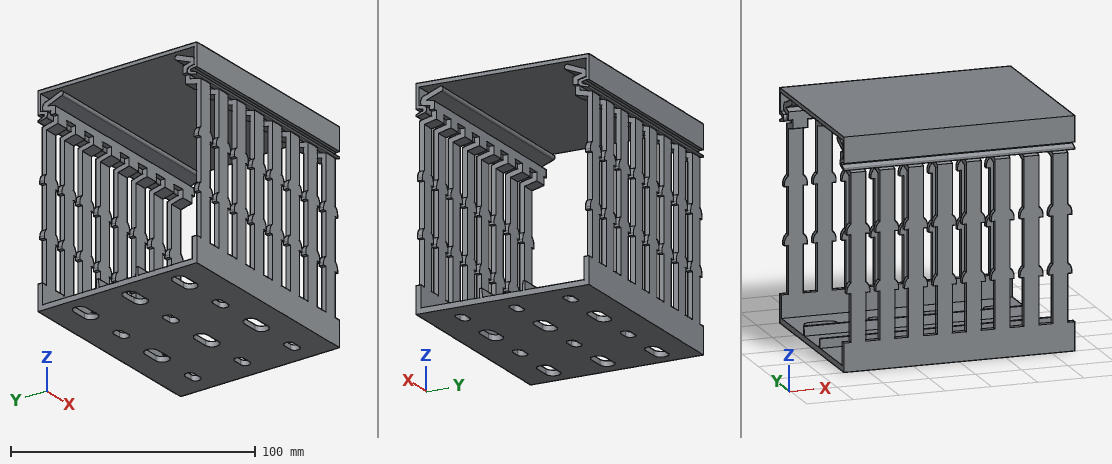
import cadquery as cq
import math

length = 100.0
width = 80.1
height = 100.0
half_width = width / 2

wall = 2.3
floor_thickness = 2.5
cover_top = 1.8
cover_side = 1.4
cover_skirt = 11.2

finger_count = 8
finger_pitch = length / finger_count
finger_width = 6.5
slot_width = finger_pitch - finger_width
slot_bottom = 12.5
slot_top = 88.0
slot_depth = 9.0

barb_bottom = 33.2
barb_pitch = 25.0
barb_bottoms = (barb_bottom, barb_bottom + barb_pitch)
barb_reach = 1.7
barb_land = 1.1
barb_arc_rise = 3.5

rib_outer = 10.5
rib_height = 4.0
rib_top_width = 1.0
rib_root_width = 1.3

hole_pitch = 25.0
first_long_hole = -1.5 * hole_pitch
long_hole = (14.0, 6.5)
short_hole = (8.5, 4.5)

web_outer = 5.6
web_inner = web_outer + wall
shoulder_outer_depth = 15.4
shoulder_inner_depth = 17.2
shoulder_drop = 1.4
ledge_start = (web_outer, 10.1)
ledge_end = (2.0, 9.5)
ledge_top_depth = 8.4
lip_crook = (4.3, 7.5)
lip_bend = (1.5, 8.1)
lip_bend_end = (4.1, 5.2)
lip_slope = math.radians(20)
lip_end = (10.8, 3.7)
lip_radius = wall / 2
lip_setback = 1.2

notch_mouth = (1.6, cover_skirt)
notch_upper = (2.8, 11.6)
notch_nose = (3.2, 12.0)
notch_lower = (2.8, 12.4)
tip_upper = (0.3, 13.5)
tip_outer = (0, 13.9)
tip_lower = (0.6, 14.4)
nose_lower = (4.2, 13.3)
nose = (5.0, 12.0)
nose_upper = (4.3, 10.4)
hook_root = (cover_side, 9.7)


def edge_point(inset, depth):
    """Point (y, z) at the +Y edge, given inward from the side and down from the top."""
    return (half_width - inset, height - depth)


def along_x(sketch):
    """Extrude a Y-Z outline over the full length."""
    return sketch.close().extrude(length / 2, both=True)


def both_sides(body):
    """Join a +Y feature with its mirror image."""
    return body.union(body.mirror("XZ"))



def base_wall():
    """Side wall at +Y, ending in the set-back web and the snap lip."""
    across = (lip_radius * math.sin(lip_slope), lip_radius * math.cos(lip_slope))
    end_upper = (lip_end[0] - across[0], lip_end[1] - across[1])
    end_lower = (lip_end[0] + across[0], lip_end[1] + across[1])
    end_tip = (lip_end[0] + across[1], lip_end[1] - across[0])
    return along_x(
        cq.Workplane("YZ")
        .moveTo(half_width, 0)
        .lineTo(*edge_point(0, shoulder_outer_depth))
        .lineTo(*edge_point(web_outer, shoulder_outer_depth - shoulder_drop))
        .lineTo(*edge_point(*ledge_start))
        .lineTo(*edge_point(*ledge_end))
        .threePointArc(edge_point(*lip_bend), edge_point(*lip_bend_end))
        .lineTo(*edge_point(*end_upper))
        .threePointArc(edge_point(*end_tip), edge_point(*end_lower))
        .lineTo(*edge_point(*lip_crook))
        .lineTo(*edge_point(web_inner, ledge_top_depth))
        .lineTo(*edge_point(web_inner, shoulder_inner_depth - shoulder_drop))
        .lineTo(*edge_point(wall, shoulder_inner_depth))
        .lineTo(half_width - wall, 0)
    )


def wall_slot(x):
    """Cutter for one slot between neighbouring fingers of the +Y wall."""
    return (
        cq.Workplane("XY")
        .box(slot_width, slot_depth, slot_top - slot_bottom, centered=(True, False, False))
        .translate((x, half_width - slot_depth, slot_bottom))
    )


def lip_end_trim(end):
    """Cutter that shortens the snap lip at one end; end is +1 or -1 along X."""
    return cq.Workplane("XY").box(2 * lip_setback, width, 2 * (height - slot_top)).translate(
        (end * length / 2, 0, height)
    )


def barb(x, z, side):
    """Barb on one edge of a finger; side is +1 or -1 along X."""
    arc_radius = (barb_reach**2 + barb_arc_rise**2) / (2 * barb_reach)
    half_angle = math.asin(barb_arc_rise / arc_radius) / 2
    arc_mid_reach = barb_reach - arc_radius * (1 - math.cos(half_angle))
    arc_mid_rise = barb_land + arc_radius * math.sin(half_angle)
    root = finger_width / 2

    def point(reach, rise):
        return (x + side * (root + reach), z + rise)

    return (
        cq.Workplane("XZ", origin=(0, half_width, 0))
        .moveTo(*point(-root, 0))
        .lineTo(*point(barb_reach, 0))
        .lineTo(*point(barb_reach, barb_land))
        .threePointArc(
            point(arc_mid_reach, arc_mid_rise), point(0, barb_land + barb_arc_rise)
        )
        .lineTo(*point(-root, barb_land + barb_arc_rise))
        .close()
        .extrude(wall)
    )


def slotted_wall():
    """The +Y wall cut into fingers, with barbs on both edges of each finger."""
    body = base_wall()
    for i in range(finger_count + 1):
        body = body.cut(wall_slot(i * finger_pitch - length / 2))
    for end in (-1, 1):
        body = body.cut(lip_end_trim(end))
    for i in range(finger_count):
        finger_x = (i + 0.5) * finger_pitch - length / 2
        for z in barb_bottoms:
            for side in (-1, 1):
                body = body.union(barb(finger_x, z, side))
    return body


def floor_rib():
    """Rib on the +Y half of the floor, with a sloped inner face."""
    rib_top = floor_thickness + rib_height
    return along_x(
        cq.Workplane("YZ")
        .moveTo(rib_outer, 0)
        .lineTo(rib_outer, rib_top)
        .lineTo(rib_outer - rib_top_width, rib_top)
        .lineTo(rib_outer - rib_root_width, floor_thickness)
        .lineTo(rib_outer - rib_root_width, 0)
    )


def mounting_holes(size, first_x):
    """Cutters for three rows of slotted holes of one size, two per row."""
    places = [
        (first_x + i * 2 * hole_pitch, j * hole_pitch) for i in range(2) for j in (-1, 0, 1)
    ]
    return cq.Workplane("XY").pushPoints(places).slot2D(*size).extrude(floor_thickness)


def make_base():
    floor = cq.Workplane("XY").box(length, width, floor_thickness, centered=(True, True, False))
    return (
        floor.union(both_sides(slotted_wall()))
        .union(both_sides(floor_rib()))
        .cut(mounting_holes(long_hole, first_long_hole))
        .cut(mounting_holes(short_hole, first_long_hole + hole_pitch))
    )



def cover_edge():
    """Skirt at +Y with the V-shaped hook that snaps into the hollow of the base wall."""
    return along_x(
        cq.Workplane("YZ")
        .moveTo(half_width, height)
        .lineTo(*edge_point(0, cover_skirt))
        .lineTo(*edge_point(*notch_mouth))
        .lineTo(*edge_point(*notch_upper))
        .threePointArc(edge_point(*notch_nose), edge_point(*notch_lower))
        .lineTo(*edge_point(*tip_upper))
        .threePointArc(edge_point(*tip_outer), edge_point(*tip_lower))
        .lineTo(*edge_point(*nose_lower))
        .threePointArc(edge_point(*nose), edge_point(*nose_upper))
        .lineTo(*edge_point(*hook_root))
        .lineTo(half_width - cover_side, height)
    )


def make_cover():
    top = cq.Workplane("XY").box(length, width, cover_top, centered=(True, True, False))
    return top.translate((0, 0, height - cover_top)).union(both_sides(cover_edge()))


base = make_base()
cover = make_cover()
result = cq.Compound.makeCompound([base.solids().val(), cover.solids().val()])